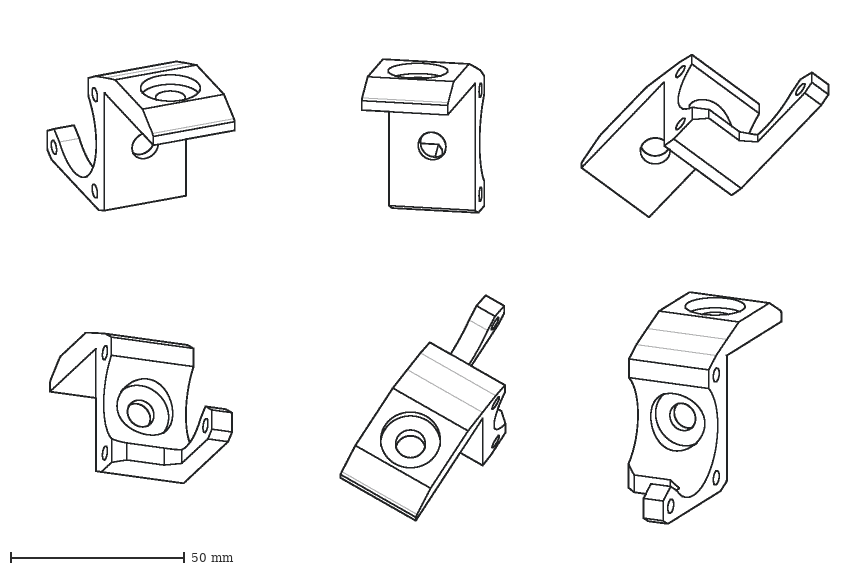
import cadquery as cq
import math

length = 80.5
depth = 25.4
height = 47.6

screw_inset_x = 5.15
screw_inset_z = 4.8
screw_spacing = 31.0
screw_dia = 4.0
bore_radius = 16.5
bore_x = screw_inset_x + screw_spacing / 2
bore_z = screw_inset_z + screw_spacing / 2
face_angle = math.radians(30)
slope = math.tan(face_angle)
lug_flat_half = screw_inset_x * slope
lug_tip = 2 * lug_flat_half
right_screw_x = screw_inset_x + screw_spacing
top_screw_z = screw_inset_z + screw_spacing
upper_lug_x = right_screw_x - screw_inset_x

wall_outer_x = 43.5
wall_chamfer_x = 4.35
arm_bottom_z = 39.7
arm_top_start_x = 51.5
arm_bend_z = 44.6
arm_top_end_x = 72.3
nose_x = 79.8
nose_z = height - (nose_x - arm_top_end_x) * slope
nose_drop = 0.7
nose_tip_z = nose_z - nose_drop

plate_thickness = 6.3
step_x = 24.3
step_flat_x = 27.4
step_flat_start_y = 10.55
back_chamfer = 3.4

head_dia = 17.2
wall_bolt_dia = 8.1
arm_bolt_dia = 8.5
arm_bolt_x = 62.55
wall_head_floor_x = 40.4
arm_head_floor_z = 44.5


def bracket_body():
    lug_bottom_z = screw_inset_z - lug_flat_half
    tip_z = screw_inset_z + lug_tip

    normal_distance = (
        (bore_x - screw_inset_x) * math.sin(face_angle)
        + (bore_z - tip_z) * math.cos(face_angle)
    )
    along_distance = (
        (bore_x - screw_inset_x) * math.cos(face_angle)
        - (bore_z - tip_z) * math.sin(face_angle)
    )
    lug_face_length = along_distance - math.sqrt(bore_radius**2 - normal_distance**2)
    arc_start = (
        screw_inset_x + lug_face_length * math.cos(face_angle),
        tip_z - lug_face_length * math.sin(face_angle),
    )
    arc_middle = (
        bore_x + bore_radius * math.sqrt(0.5),
        bore_z - bore_radius * math.sqrt(0.5),
    )
    arc_end_z = bore_z + math.sqrt(bore_radius**2 - (upper_lug_x - bore_x) ** 2)

    return (
        cq.Workplane("XZ")
        .moveTo(screw_inset_x, tip_z)
        .lineTo(*arc_start)
        .threePointArc(arc_middle, (upper_lug_x, arc_end_z))
        .lineTo(upper_lug_x, top_screw_z + lug_flat_half)
        .lineTo(right_screw_x, top_screw_z + lug_tip)
        .lineTo(wall_outer_x, arm_bend_z)
        .lineTo(arm_top_start_x, height)
        .lineTo(arm_top_end_x, height)
        .lineTo(nose_x, nose_z)
        .lineTo(length, nose_tip_z)
        .lineTo(length, arm_bottom_z)
        .lineTo(wall_outer_x, arm_bottom_z)
        .lineTo(wall_outer_x, lug_bottom_z)
        .lineTo(wall_outer_x - wall_chamfer_x, 0)
        .lineTo(lug_bottom_z / slope, 0)
        .lineTo(0, lug_bottom_z)
        .lineTo(0, screw_inset_z + lug_flat_half)
        .close()
        .extrude(-depth)
    )


def rear_clearance():
    outline = [
        (0, plate_thickness),
        (step_x, plate_thickness),
        (step_flat_x, step_flat_start_y),
        (step_flat_x, depth - back_chamfer),
        (step_flat_x + back_chamfer, depth),
        (0, depth),
    ]
    return cq.Workplane("XY").polyline(outline).close().extrude(height)


def screw_holes():
    centers = [
        (screw_inset_x, screw_inset_z),
        (right_screw_x, screw_inset_z),
        (right_screw_x, top_screw_z),
    ]
    return cq.Workplane("XZ").pushPoints(centers).circle(screw_dia / 2).extrude(-depth)


def wall_bolt_hole():
    start = cq.Workplane("YZ", origin=(bore_x, depth / 2, bore_z))
    shank = start.circle(wall_bolt_dia / 2).extrude(wall_outer_x - bore_x)
    head = start.circle(head_dia / 2).extrude(wall_head_floor_x - bore_x)
    return shank.union(head)


def arm_bolt_hole():
    start = cq.Workplane("XY", origin=(arm_bolt_x, depth / 2, height))
    shank = start.circle(arm_bolt_dia / 2).extrude(arm_bottom_z - height)
    head = start.circle(head_dia / 2).extrude(arm_head_floor_z - height)
    return shank.union(head)


result = (
    bracket_body()
    .cut(rear_clearance())
    .cut(screw_holes())
    .cut(wall_bolt_hole())
    .cut(arm_bolt_hole())
)